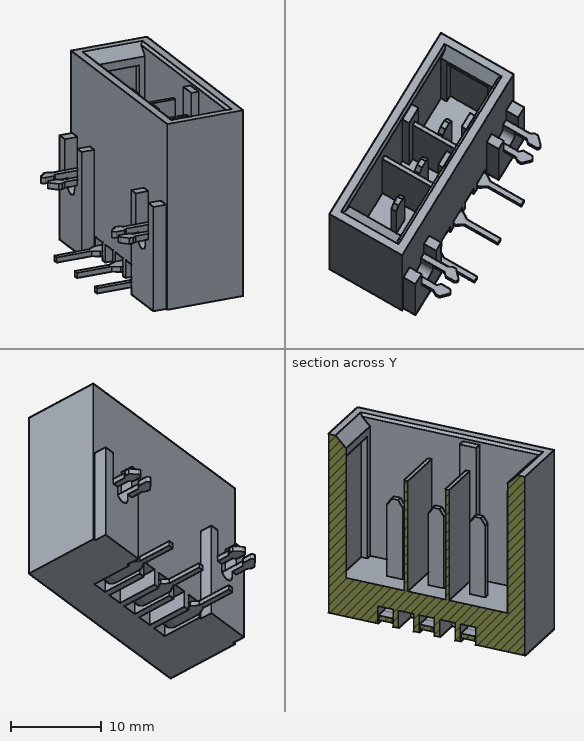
import cadquery as cq

body_width = 24.15
body_depth = 9.33
body_height = 22.1
body_mid_y = body_depth / 2
through_length = 4 * body_depth

end_wall = 0.9
side_wall = 1.0
end_lead_in = 1.3
side_lead_in = 0.31
floor_z = 4.83
cavity_half_width = body_width / 2 - end_wall - end_lead_in
cavity_front_y = side_wall + side_lead_in
cavity_back_y = body_depth - cavity_front_y

end_recess_inset = 0.72
end_recess_depth = 0.75
end_recess_top = 19.84

pitch = 5.07
contact_xs = [-pitch, 0.0, pitch]
half_pitch_xs = [-pitch / 2, pitch / 2]

divider_thickness = 0.48
divider_top = 18.43
key_width = 2.03
key_depth = 0.87
key_top = 21.45
guide_width = 1.84
guide_depth = 0.68
guide_top = 21.33

notch_width = 1.8
notch_height = 2.15
notch_depth = 5.0

pin_thickness = 0.63
pin_bottom = 0.45
tail_top = pin_bottom + pin_thickness
pin_bend_radius = 1.05
pin_tip_z = 14.5
leg_width = 1.7
blade_width = 1.9
tail_width = pin_thickness
tail_reach = 5.32
tail_taper_start = 0.22
tail_taper_end = 1.05
tip_width = 0.82
tip_taper_height = 0.82

pad_x = 9.0
pad_width = 5.55
pad_height = 12.42
pad_thickness = 1.55
slot_x = 8.9
slot_width = 3.12
slot_radius = 0.87
slot_center_z = 7.3

arm_bottom = 8.05
arm_thickness = 0.7
arm_head_start = 3.07
arm_inner_flare = 0.36
arm_outer_flare = 0.27
arm_barb_start = 3.5
arm_barb_end = 3.96
arm_tip_radius = 0.35


def block(x_min, x_max, y_min, y_max, z_min, z_max):
    size = (x_max - x_min, y_max - y_min, z_max - z_min)
    return cq.Workplane("XY").box(*size, centered=False).translate((x_min, y_min, z_min))


def centered_block(x, width, y_min, y_max, z_min, z_max):
    return block(x - width / 2, x + width / 2, y_min, y_max, z_min, z_max)


def centered_prism(profile, plane, length):
    """Prism of a closed profile, extruded both ways about its plane."""
    return cq.Workplane(plane).polyline(profile).close().extrude(length / 2, both=True)


def cavity():
    half = cavity_half_width
    end_slope_z = body_height - end_lead_in
    end_profile = [
        (-half, floor_z),
        (half, floor_z),
        (half, end_slope_z),
        (half + end_lead_in, body_height),
        (-half - end_lead_in, body_height),
        (-half, end_slope_z),
    ]
    side_slope_z = body_height - side_lead_in
    side_profile = [
        (cavity_front_y, floor_z),
        (cavity_back_y, floor_z),
        (cavity_back_y, side_slope_z),
        (cavity_back_y + side_lead_in, body_height),
        (cavity_front_y - side_lead_in, body_height),
        (cavity_front_y, side_slope_z),
    ]
    sloped_ends = centered_prism(end_profile, "XZ", through_length)
    sloped_sides = centered_prism(side_profile, "YZ", body_width)
    recesses = centered_block(
        0,
        2 * (cavity_half_width + end_recess_depth),
        cavity_front_y + end_recess_inset,
        cavity_back_y - end_recess_inset,
        floor_z,
        end_recess_top,
    )
    return sloped_ends.intersect(sloped_sides).union(recesses)


def housing():
    body = centered_block(0, body_width, 0, body_depth, 0, body_height).cut(cavity())
    for x in contact_xs + half_pitch_xs:
        body = body.cut(centered_block(x, notch_width, 0, notch_depth, 0, notch_height))
    return body


def cavity_ribs():
    back_root = cavity_back_y + side_lead_in
    front_root = cavity_front_y - side_lead_in
    key_x = pitch / 2
    ribs = centered_block(key_x, key_width, cavity_back_y - key_depth, cavity_back_y, floor_z, key_top)
    for x in half_pitch_xs:
        divider = centered_block(x, divider_thickness, front_root, back_root, floor_z, divider_top)
        ribs = ribs.union(divider)
    for x in [0.0, pitch]:
        guide_back = cavity_front_y + guide_depth
        guide = centered_block(x, guide_width, front_root, guide_back, floor_z, guide_top)
        ribs = ribs.union(guide)
    return ribs


def contact_pin():
    back_y = body_mid_y + pin_thickness / 2
    front_y = body_mid_y - pin_thickness / 2
    outer_radius = pin_bend_radius + pin_thickness
    strip = (
        cq.Workplane("YZ")
        .moveTo(-tail_reach, pin_bottom)
        .lineTo(back_y - outer_radius, pin_bottom)
        .radiusArc((back_y, pin_bottom + outer_radius), -outer_radius)
        .lineTo(back_y, pin_tip_z)
        .lineTo(front_y, pin_tip_z)
        .lineTo(front_y, tail_top + pin_bend_radius)
        .radiusArc((front_y - pin_bend_radius, tail_top), pin_bend_radius)
        .lineTo(-tail_reach, tail_top)
        .close()
        .extrude(blade_width / 2, both=True)
    )
    plan = [
        (-tail_width / 2, -tail_reach),
        (tail_width / 2, -tail_reach),
        (tail_width / 2, -tail_taper_end),
        (leg_width / 2, -tail_taper_start),
        (leg_width / 2, 0),
        (blade_width / 2, 0),
        (blade_width / 2, back_y),
        (-blade_width / 2, back_y),
        (-blade_width / 2, 0),
        (-leg_width / 2, 0),
        (-leg_width / 2, -tail_taper_start),
        (-tail_width / 2, -tail_taper_end),
    ]
    plan_prism = cq.Workplane("XY").polyline(plan).close().extrude(pin_tip_z)
    elevation = [
        (-leg_width / 2, 0),
        (leg_width / 2, 0),
        (leg_width / 2, floor_z),
        (blade_width / 2, floor_z),
        (blade_width / 2, pin_tip_z - tip_taper_height),
        (tip_width / 2, pin_tip_z),
        (-tip_width / 2, pin_tip_z),
        (-blade_width / 2, pin_tip_z - tip_taper_height),
        (-blade_width / 2, floor_z),
        (-leg_width / 2, floor_z),
    ]
    elevation_prism = centered_prism(elevation, "XZ", through_length)
    return strip.intersect(plan_prism).intersect(elevation_prism)


def mounting_pad():
    """Right-hand pad, with its slot open at the top."""
    pad = centered_block(pad_x, pad_width, -pad_thickness, 0, 0, pad_height)
    wide_slot = centered_block(slot_x, slot_width, -pad_thickness, 0, arm_bottom, pad_height)
    narrow_slot = centered_block(slot_x, 2 * slot_radius, -pad_thickness, 0, slot_center_z, arm_bottom)
    round_end = (
        cq.Workplane("XZ")
        .center(slot_x, slot_center_z)
        .circle(slot_radius)
        .extrude(pad_thickness)
    )
    return pad.cut(wide_slot).cut(narrow_slot).cut(round_end)


def snap_arm():
    """Arm on the +X side of a slot centred at X = 0, barbed outward."""
    inner_x = slot_radius
    outer_x = slot_width / 2
    head_inner_x = inner_x - arm_inner_flare
    barb_x = outer_x + arm_outer_flare
    tip_corner_y = -arm_barb_end - (barb_x - head_inner_x)
    outline = [
        (inner_x, 0),
        (outer_x, 0),
        (outer_x, -arm_head_start),
        (barb_x, -arm_barb_start),
        (barb_x, -arm_barb_end),
        (head_inner_x, tip_corner_y),
        (head_inner_x, -arm_head_start - arm_inner_flare),
        (inner_x, -arm_head_start),
    ]
    arm = cq.Workplane("XY").polyline(outline).close().extrude(arm_thickness)
    arm = arm.edges("|Z").edges("<Y").fillet(arm_tip_radius)
    return arm.translate((0, 0, arm_bottom))


def board_mount():
    """Right-hand pad together with its mirrored pair of snap arms."""
    arm = snap_arm()
    arms = arm.union(arm.mirror("YZ"))
    return mounting_pad().union(arms.translate((slot_x, 0, 0)))


mount = board_mount()
result = housing().union(cavity_ribs()).union(mount).union(mount.mirror("YZ"))
for contact_x in contact_xs:
    result = result.union(contact_pin().translate((contact_x, 0, 0)))